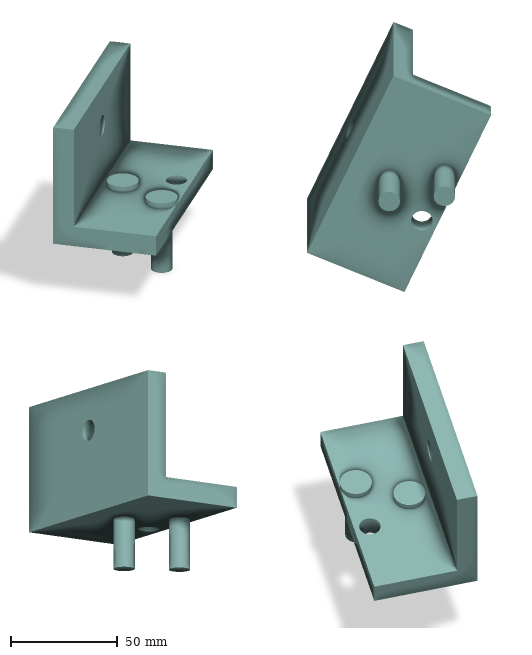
import cadquery as cq
import math

bracket_length = 100.0
base_width = 50.0
wall_height = 60.0
thickness = 10.0
wall_hole_height = 40.0

pin_diameter = 10.0
head_diameter = 15.0
head_height = 3.0
pin_protrusion = 24.0

hole_circle_radius = 15.0
hole_circle_x = 35.0
hole_angles = [180.0, 300.0, 60.0]
hole_points = [
    (
        hole_circle_x + hole_circle_radius * math.cos(math.radians(angle)),
        hole_circle_radius * math.sin(math.radians(angle)),
    )
    for angle in hole_angles
]
pin_points = hole_points[:2]


def make_bracket():
    """L-shaped bracket with three base holes and one wall hole."""
    base = cq.Workplane("XY").box(base_width, bracket_length, thickness, centered=(False, True, False))
    wall = cq.Workplane("XY").box(thickness, bracket_length, wall_height, centered=(False, True, False))
    base_holes = cq.Workplane("XY").pushPoints(hole_points).circle(pin_diameter / 2).extrude(thickness)
    wall_hole = (
        cq.Workplane("YZ")
        .center(0, wall_hole_height)
        .circle(pin_diameter / 2)
        .extrude(thickness)
    )
    return base.union(wall).cut(base_holes).cut(wall_hole)


def make_pin(x, y):
    """Pin whose head rests on the base and whose shank sticks out below."""
    head = (
        cq.Workplane("XY", origin=(x, y, thickness))
        .circle(head_diameter / 2)
        .extrude(head_height)
    )
    shank = (
        cq.Workplane("XY", origin=(x, y, -pin_protrusion))
        .circle(pin_diameter / 2)
        .extrude(pin_protrusion + thickness)
    )
    return head.union(shank)


bracket = make_bracket()
pins = [make_pin(x, y).val() for x, y in pin_points]

result = cq.Compound.makeCompound([bracket.val(), *pins])